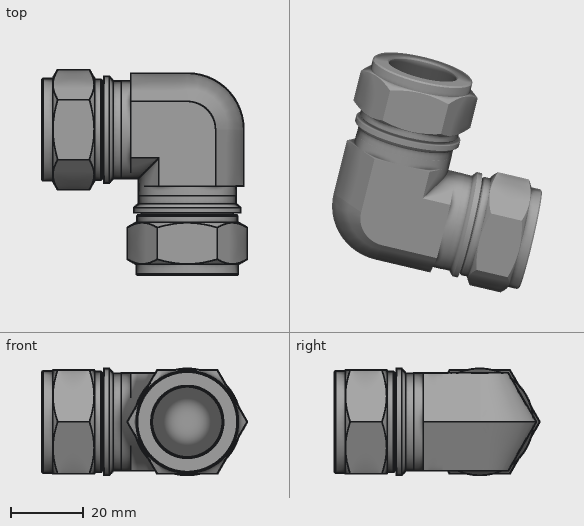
import cadquery as cq
import math

overall_size = 56.6
nut_across_flats = 28.65
nut_corner_radius = nut_across_flats / math.sqrt(3)
arm_length = overall_size - nut_corner_radius

nut_start = 3.0
nut_end = 14.55
ring_end = 16.7
flange_start = 17.15
flange_rim_end = 18.55
flange_cone_end = 19.7
neck_step = 21.9
body_start = 24.5
bore_depth = body_start

collar_diameter = 28.2
ring_diameter = 27.8
gap_diameter = 25.4
flange_diameter = 29.5
neck_diameter = 26.9
body_diameter = 27.0
bore_diameter = 19.25

half_height = body_diameter / 2
corner = body_diameter / math.sqrt(3)

edge_chamfer = 0.4
nut_chamfer_angle = math.radians(30)


def disc(start, end, diameter):
    return cq.Workplane("XY").workplane(offset=start).circle(diameter / 2).extrude(end - start)


def make_nut():
    """Hexagonal nut with conical 30 degree chamfers on both ends."""
    cone_radius = collar_diameter / 2
    chamfer_length = (nut_corner_radius - cone_radius) * math.tan(nut_chamfer_angle)
    hexagon = (
        cq.Workplane("XY")
        .workplane(offset=nut_start)
        .polygon(6, 2 * nut_corner_radius)
        .extrude(nut_end - nut_start)
        .rotate((0, 0, 0), (0, 0, 1), 90)
    )
    envelope = (
        cq.Workplane("XZ")
        .moveTo(0, nut_start)
        .lineTo(cone_radius, nut_start)
        .lineTo(nut_corner_radius, nut_start + chamfer_length)
        .lineTo(nut_corner_radius, nut_end - chamfer_length)
        .lineTo(cone_radius, nut_end)
        .lineTo(0, nut_end)
        .close()
        .revolve(360, (0, 0, 0), (0, 1, 0))
    )
    return hexagon.intersect(envelope)


def make_flange():
    """Flange with a cylindrical rim and a cone down to the neck."""
    return (
        cq.Workplane("XZ")
        .moveTo(0, flange_start)
        .lineTo(flange_diameter / 2, flange_start)
        .lineTo(flange_diameter / 2, flange_rim_end)
        .lineTo(neck_diameter / 2, flange_cone_end)
        .lineTo(0, flange_cone_end)
        .close()
        .revolve(360, (0, 0, 0), (0, 1, 0))
    )


def make_arm_fittings():
    """Turned parts and nut, with the open end at Z = 0 and the arm running up Z."""
    fittings = disc(0, nut_start, collar_diameter).faces("<Z").chamfer(edge_chamfer)
    fittings = fittings.union(make_nut())
    fittings = fittings.union(disc(nut_end, ring_end, ring_diameter).faces(">Z").chamfer(edge_chamfer))
    fittings = fittings.union(disc(ring_end, flange_start, gap_diameter))
    fittings = fittings.union(make_flange())
    fittings = fittings.union(disc(flange_cone_end, neck_step, neck_diameter))
    return fittings.union(disc(neck_step, body_start, body_diameter))


def make_bore():
    """Blind bore with a chamfered mouth at Z = 0."""
    bore = disc(0, bore_depth, bore_diameter)
    mouth = (
        cq.Workplane("XY")
        .circle(bore_diameter / 2 + edge_chamfer)
        .workplane(offset=edge_chamfer)
        .circle(bore_diameter / 2)
        .loft()
    )
    return bore.union(mouth)


def place_on_x_arm(shape):
    return shape.rotate((0, 0, 0), (0, 1, 0), 90).translate((-arm_length, 0, 0))


def mirror_to_y_arm(shape):
    """Exchange X and Y to carry the X arm onto the Y arm."""
    return shape.rotate((0, 0, 0), (0, 0, 1), 90).mirror("YZ")


def make_body_arm():
    """Body along -X: hexagon outside, rounded between its tangent points inside."""
    tangent_y = half_height * math.cos(math.radians(30))
    tangent_z = half_height * math.sin(math.radians(30))
    return (
        cq.Workplane("YZ")
        .moveTo(corner, 0)
        .lineTo(corner / 2, half_height)
        .lineTo(-corner / 2, half_height)
        .lineTo(-tangent_y, tangent_z)
        .threePointArc((-half_height, 0), (-tangent_y, -tangent_z))
        .lineTo(-corner / 2, -half_height)
        .lineTo(corner / 2, -half_height)
        .close()
        .extrude(body_start - arm_length)
    )


def make_body_bend():
    """Outer quarter turn that joins the two body arms."""
    half_section = [(0, half_height), (corner / 2, half_height), (corner, 0),
                    (corner / 2, -half_height), (0, -half_height)]
    return (
        cq.Workplane("XZ")
        .polyline(half_section)
        .close()
        .revolve(90, (0, 0, 0), (0, 1, 0))
    )


def make_elbow_body():
    """Two body arms trimmed to meet on the diagonal plane, with the bend on the outside."""
    reach = arm_length
    trim = (
        cq.Workplane("XY")
        .workplane(offset=-reach)
        .polyline([(0, 0), (-reach, -reach), (-reach, reach), (0, reach)])
        .close()
        .extrude(2 * reach)
    )
    body_arm = make_body_arm().intersect(trim)
    return body_arm.union(mirror_to_y_arm(body_arm)).union(make_body_bend())


fittings = place_on_x_arm(make_arm_fittings())
bore_cut = place_on_x_arm(make_bore())

result = make_elbow_body().union(fittings).union(mirror_to_y_arm(fittings))
result = result.cut(bore_cut).cut(mirror_to_y_arm(bore_cut))